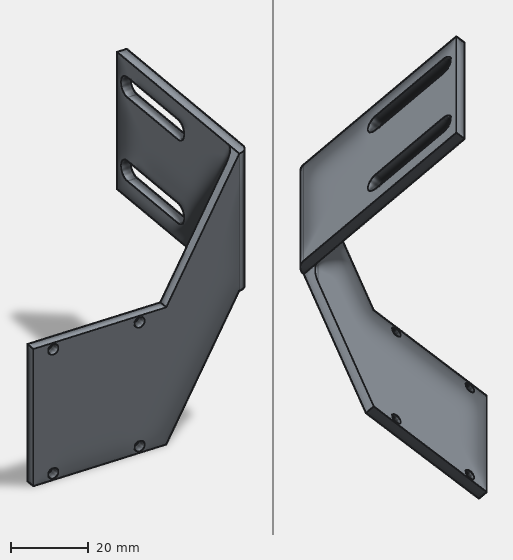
import cadquery as cq

width = 60.0
depth = 65.0
height = 80.0
thickness = 3.0
plate_height = 41.0

inner_radius = 2.2
outer_radius = 3.0

drilled_length = 40.0
hole_diameter = 3.0
hole_front_margin = 6.0
hole_spacing = 26.0
hole_edge_margin = 2.0

slot_length = 31.0
slot_width = 6.0
slot_side_margin = 2.0
slot_top_margin = 8.0
slot_spacing = 25.0


def bent_strip():
    """Full-height L-shaped strip with a rounded bend."""
    inner_x = width - thickness
    inner_y = depth - thickness
    strip = (
        cq.Workplane("XY")
        .polyline([
            (0, depth),
            (width, depth),
            (width, 0),
            (inner_x, 0),
            (inner_x, inner_y),
            (0, inner_y),
        ])
        .close()
        .extrude(height)
    )
    outer_corner = cq.selectors.NearestToPointSelector((width, depth, height / 2))
    inner_corner = cq.selectors.NearestToPointSelector((inner_x, inner_y, height / 2))
    strip = strip.edges("|Z").edges(outer_corner).fillet(outer_radius)
    return strip.edges("|Z").edges(inner_corner).fillet(inner_radius)


def side_profile():
    """Side outline: raised slotted plate, sloping web, lowered drilled plate."""
    bend_y = depth - thickness
    raised_bottom = height - plate_height
    return (
        cq.Workplane("YZ")
        .polyline([
            (0, 0),
            (drilled_length, 0),
            (bend_y, raised_bottom),
            (depth, raised_bottom),
            (depth, height),
            (bend_y, height),
            (drilled_length, plate_height),
            (0, plate_height),
        ])
        .close()
        .extrude(width)
    )


def slots():
    """Two horizontal slots through the raised plate."""
    center_x = slot_side_margin + slot_length / 2
    upper_z = height - slot_top_margin
    return (
        cq.Workplane("XZ")
        .pushPoints([(center_x, upper_z), (center_x, upper_z - slot_spacing)])
        .slot2D(slot_length, slot_width)
        .extrude(-depth)
    )


def holes():
    """Four holes through the lowered plate."""
    points = [
        (y, z)
        for y in (hole_front_margin, hole_front_margin + hole_spacing)
        for z in (hole_edge_margin, plate_height - hole_edge_margin)
    ]
    return cq.Workplane("YZ").pushPoints(points).circle(hole_diameter / 2).extrude(width)


result = bent_strip().intersect(side_profile()).cut(slots()).cut(holes())